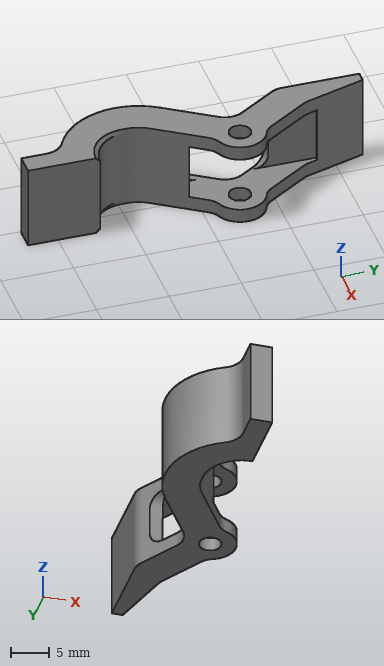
import cadquery as cq
import math

width = 12.0
length = 48.25
tab_end_y = -15.25
tip_y = tab_end_y + length

bore_radius = 5.25
hook_radius = 10.25
tab_thickness = 3.0
bore_relief = 0.65
relief_depth = bore_relief

pivot_y = 14.0
hole_radius = 1.5
boss_radius = 3.5
arm_angle = math.radians(33)
blend_radius = 3.0
boss_blend_radius = 2.75

blade_back_x = -7.95
tip_thickness = 1.5
taper_angle = math.radians(16.5)

window_length = 12.0
window_height = 8.0
window_centre_y = 13.45
window_corner_radius = 1.95
window_bottom_y = window_centre_y - window_length / 2

slot_floor_x = -4.9
slot_top_y = 26.05


def lower_arm_x(y, offset):
    """X on a lower arm side whose line lies `offset` from the bore centre."""
    return (y * math.sin(arm_angle) - offset) / math.cos(arm_angle)


def upper_arm_y(x, offset):
    """Y on an upper arm side, the mirror of the lower arm side."""
    lower_y = (x * math.cos(arm_angle) + offset) / math.sin(arm_angle)
    return 2 * pivot_y - lower_y


def hook_point(radius, angle):
    return (-radius * math.cos(angle), radius * math.sin(angle))


def extrude_centred(sketch):
    return sketch.extrude(width / 2, both=True)


def blend_corners(body, corners, radius):
    for x, y in corners:
        nearest = cq.selectors.NearestToPointSelector((x, y, 0))
        body = body.edges("|Z").edges(nearest).fillet(radius)
    return body


def make_body():
    tip_front_x = blade_back_x + tip_thickness
    arm_slope = math.tan(arm_angle)
    taper_slope = math.tan(taper_angle)
    arm_x_at_tip = lower_arm_x(2 * pivot_y - tip_y, bore_radius)
    bend_drop = (tip_front_x - arm_x_at_tip) / (arm_slope - taper_slope)
    bend = (tip_front_x + bend_drop * taper_slope, tip_y - bend_drop)

    elbow_back = (lower_arm_x(pivot_y, hook_radius), pivot_y)
    elbow_front = (lower_arm_x(pivot_y, bore_radius), pivot_y)
    blade_bend = (blade_back_x, upper_arm_y(blade_back_x, hook_radius))
    tab_top = (-tab_thickness, -math.sqrt(hook_radius**2 - tab_thickness**2))
    mid_angle = -math.radians(10)

    profile = (
        cq.Workplane("XY")
        .moveTo(0, tab_end_y)
        .lineTo(-tab_thickness, tab_end_y)
        .lineTo(*tab_top)
        .threePointArc(hook_point(hook_radius, mid_angle), hook_point(hook_radius, arm_angle))
        .lineTo(*elbow_back)
        .lineTo(*blade_bend)
        .lineTo(blade_back_x, tip_y)
        .lineTo(tip_front_x, tip_y)
        .lineTo(*bend)
        .lineTo(*elbow_front)
        .lineTo(*hook_point(bore_radius, arm_angle))
        .threePointArc(hook_point(bore_radius, mid_angle), (0, -bore_radius))
        .close()
    )
    arm_corners = [tab_top, elbow_back, blade_bend, bend]
    body = blend_corners(extrude_centred(profile), arm_corners, blend_radius)
    boss = extrude_centred(cq.Workplane("XY").center(0, pivot_y).circle(boss_radius))
    body = body.union(boss)

    front_offset = pivot_y * math.sin(arm_angle) - bore_radius
    half_chord = math.sqrt(boss_radius**2 - front_offset**2)
    boss_x = front_offset * math.cos(arm_angle) + half_chord * math.sin(arm_angle)
    boss_dy = half_chord * math.cos(arm_angle) - front_offset * math.sin(arm_angle)
    boss_corners = [(boss_x, pivot_y + boss_dy), (boss_x, pivot_y - boss_dy)]
    return blend_corners(body, boss_corners, boss_blend_radius)


def make_window():
    return (
        cq.Workplane("YZ")
        .center(window_centre_y, 0)
        .rect(window_length, window_height)
        .extrude(2 * hook_radius, both=True)
        .edges("|X")
        .fillet(window_corner_radius)
    )


def make_slot():
    """Clearance behind the window that leaves only a thin rim in the upper arm."""
    slot_length = slot_top_y - window_bottom_y
    return (
        cq.Workplane("XY")
        .center(slot_floor_x, window_bottom_y)
        .rect(hook_radius, slot_length, centered=False)
        .extrude(window_height / 2, both=True)
    )


def make_bore_relief(side):
    """Skewed bore opening at a side face, shifted towards the tab as it nears the face."""
    return (
        cq.Workplane("XY", origin=(0, 0, side * (width / 2 - relief_depth)))
        .circle(bore_radius)
        .workplane(offset=side * relief_depth)
        .center(0, -bore_relief)
        .circle(bore_radius)
        .loft(ruled=True)
    )


pivot_hole = extrude_centred(cq.Workplane("XY").center(0, pivot_y).circle(hole_radius))

result = make_body().cut(make_window()).cut(make_slot()).cut(pivot_hole)
for side in (1, -1):
    result = result.cut(make_bore_relief(side))